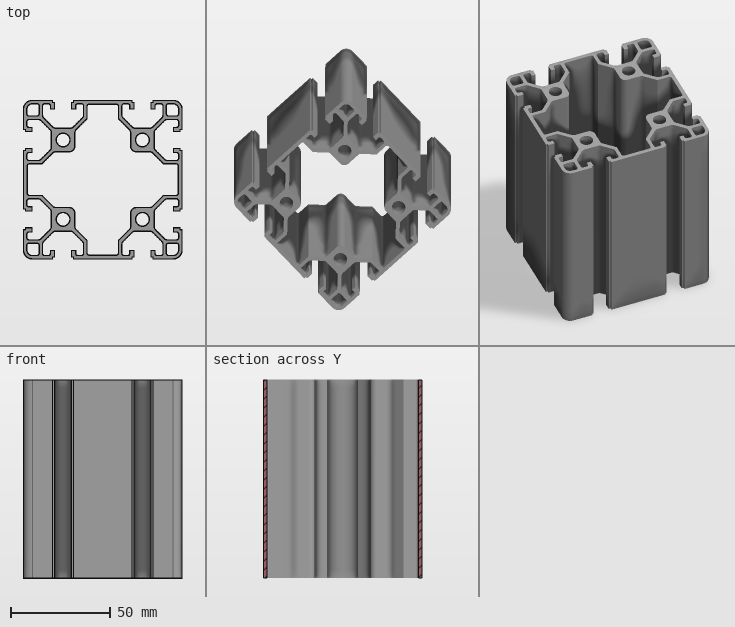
import cadquery as cq
import math


SIDE = 80.0
LENGTH = 100.0
CORNER_RADIUS = 4.5
HALF = SIDE / 2

SLOT_PITCH = 40.0
SLOT_DEPTH = 14.0
MOUTH_HALF = 4.2
MOUTH_STEP_HALF = 5.2
MOUTH_STEP_DEPTH = 1.0
LIP_DEPTH = 4.4
LIP_WIDTH = 2.2
CAVITY_HALF = 10.3
SKIN = 1.8
VOID_SKIN = 2.0
CAVITY_FILLET = 1.0
SLOT_BEND_FILLET = 2.0

CORE_HALF = SLOT_PITCH / 2 - SLOT_DEPTH
CORE_RADIUS = 3.0
CORE_BORE = 6.8
STRUT_THICKNESS = 2.0
STRUT_OFFSET = STRUT_THICKNESS / math.sqrt(2)

WEB = 1.8
CORNER_POCKET_FILLET = 1.0
VOID_FILLET = 1.0
STRUT_ROOT_FILLET = 2.0

CORE_CENTER = SLOT_PITCH / 2
QUADRANTS = [(1, 1), (-1, 1), (-1, -1), (1, -1)]


def on_all_sides(shape):
    """Return four copies of a shape, turned about the profile axis."""
    return [shape.rotate((0, 0, 0), (0, 0, 1), 90 * turn) for turn in range(4)]


def fillet_at(solid, points, radius):
    """Round the lengthwise edges that pass through the given XY points."""
    for x, y in points:
        edge = cq.selectors.NearestToPointSelector((x, y, LENGTH / 2))
        solid = solid.edges("|Z").edges(edge).fillet(radius)
    return solid


def make_slot(center_x):
    """T-slot cutter opening on the +Y face."""
    face = HALF
    roof = face - SKIN
    floor = face - SLOT_DEPTH
    lip_end = face - LIP_DEPTH
    lip_half = MOUTH_HALF + LIP_WIDTH
    floor_half = CORE_HALF - STRUT_OFFSET
    bend_y = floor + CAVITY_HALF - floor_half
    right_half = [
        (floor_half, floor),
        (CAVITY_HALF, bend_y),
        (CAVITY_HALF, roof),
        (lip_half, roof),
        (lip_half, lip_end),
        (MOUTH_HALF, lip_end),
        (MOUTH_HALF, face - MOUTH_STEP_DEPTH),
        (MOUTH_STEP_HALF, face - MOUTH_STEP_DEPTH),
        (MOUTH_STEP_HALF, face),
    ]
    left_half = [(-x, y) for x, y in reversed(right_half)]
    outline = [(center_x + x, y) for x, y in right_half + left_half]
    slot = cq.Workplane("XY").polyline(outline).close().extrude(LENGTH)

    def both_sides(x, y):
        return [(center_x + x, y), (center_x - x, y)]

    slot = fillet_at(slot, both_sides(CAVITY_HALF, roof) + both_sides(lip_half, roof), CAVITY_FILLET)
    bends = both_sides(floor_half, floor) + both_sides(CAVITY_HALF, bend_y)
    return fillet_at(slot, bends, SLOT_BEND_FILLET)


def make_central_void():
    """Cross-shaped hollow bounded by the skins, the struts and the cores."""
    wall_x = CORE_CENTER - CAVITY_HALF - WEB
    core_x = CORE_CENTER - CORE_HALF
    roof = HALF - VOID_SKIN
    root_y = CORE_CENTER + CORE_HALF - STRUT_OFFSET
    bend_y = root_y + core_x - wall_x
    quarter = [
        (-wall_x, roof),
        (wall_x, roof),
        (wall_x, bend_y),
        (core_x, root_y),
        (core_x, core_x),
        (root_y, core_x),
        (bend_y, wall_x),
    ]
    outline = []
    for _ in range(4):
        outline += quarter
        quarter = [(y, -x) for x, y in quarter]
    void = cq.Workplane("XY").polyline(outline).close().extrude(LENGTH)

    for sx, sy in QUADRANTS:
        roof_corners = [(sx * wall_x, sy * roof), (sx * roof, sy * wall_x)]
        strut_roots = [(sx * core_x, sy * root_y), (sx * root_y, sy * core_x)]
        void = fillet_at(void, roof_corners, VOID_FILLET)
        void = fillet_at(void, strut_roots, STRUT_ROOT_FILLET)
        void = fillet_at(void, [(sx * core_x, sy * core_x)], CORE_RADIUS)
    return void


def make_corner_pocket():
    """Hollow in the +X +Y corner, its outer edge concentric with the profile corner."""
    near = CORE_CENTER + CAVITY_HALF + WEB
    far = HALF - SKIN
    pocket = cq.Workplane("XY").rect(far - near, far - near).extrude(LENGTH)
    pocket = pocket.translate(((near + far) / 2, (near + far) / 2, 0))
    pocket = fillet_at(pocket, [(far, far)], CORNER_RADIUS - SKIN)
    return fillet_at(pocket, [(near, near), (near, far), (far, near)], CORNER_POCKET_FILLET)


cutters = on_all_sides(make_slot(-CORE_CENTER)) + on_all_sides(make_slot(CORE_CENTER))
cutters += on_all_sides(make_corner_pocket())
cutters.append(make_central_void())

result = cq.Workplane("XY").rect(SIDE, SIDE).extrude(LENGTH).edges("|Z").fillet(CORNER_RADIUS)
for cutter in cutters:
    result = result.cut(cutter)

core_centers = [(sx * CORE_CENTER, sy * CORE_CENTER) for sx, sy in QUADRANTS]
bores = cq.Workplane("XY").pushPoints(core_centers).circle(CORE_BORE / 2).extrude(LENGTH)
result = result.cut(bores)